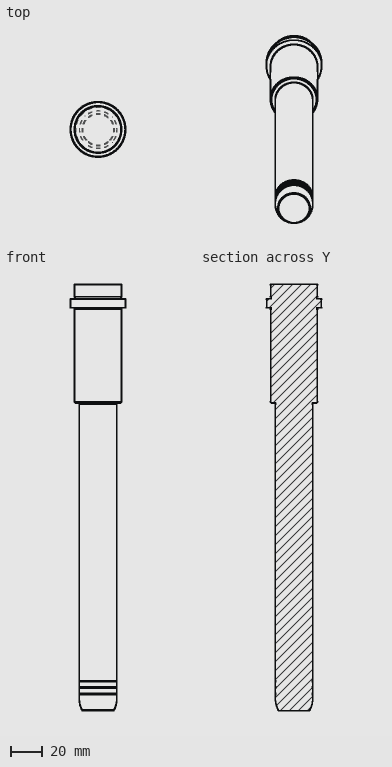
import cadquery as cq

total_length = 270.0
shaft_radius = 24.0 / 2
sleeve_radius = 30.0 / 2
collar_radius = 35.0 / 2

head_height = 9.2
collar_thickness = 6.0
sleeve_length = 75.3
collar_top = total_length - head_height
collar_bottom = collar_top - collar_thickness
sleeve_bottom = total_length - sleeve_length

sleeve_chamfer = 0.8
edge_chamfer = 0.4
upper_undercut_width = 1.0
lower_undercut_width = 0.8
undercut_depth = 0.3

tip_length = 7.3
tip_radius = 10.3
tip_chamfer = 0.5
tip_bulge = 0.4

groove_count = 3
groove_pitch = 4.0
groove_width = 0.8
groove_depth = 0.3
first_groove_height = 10.3


def cylinder(radius, bottom, top):
    """Solid cylinder on the Z axis between two heights."""
    return cq.Workplane("XY").workplane(offset=bottom).circle(radius).extrude(top - bottom)


def ring_cut(radius, depth, bottom, width):
    """Ring that cuts a rectangular groove into a cylinder of the given radius."""
    return cylinder(radius, bottom, bottom + width).cut(cylinder(radius - depth, bottom, bottom + width))


def make_shaft():
    """Shaft with a convex tapered tip, revolved about Z."""
    middle_of_taper = ((shaft_radius + tip_radius) / 2 + tip_bulge, (tip_length + tip_chamfer) / 2)
    return (
        cq.Workplane("XZ")
        .lineTo(tip_radius - tip_chamfer, 0)
        .lineTo(tip_radius, tip_chamfer)
        .threePointArc(middle_of_taper, (shaft_radius, tip_length))
        .lineTo(shaft_radius, sleeve_bottom)
        .lineTo(0, sleeve_bottom)
        .close()
        .revolve(360, (0, 0, 0), (0, 1, 0))
    )


def make_sleeve():
    """Thicker upper length, chamfered at both ends."""
    blank = cylinder(sleeve_radius, sleeve_bottom, total_length)
    return blank.faces("<Z").chamfer(sleeve_chamfer).faces(">Z").chamfer(edge_chamfer)


def undercut_below(shoulder_height, radius):
    """Relief undercut directly below a shoulder."""
    return ring_cut(radius, undercut_depth, shoulder_height - lower_undercut_width, lower_undercut_width)


above_collar = ring_cut(sleeve_radius, undercut_depth, collar_top, upper_undercut_width)
below_collar = undercut_below(collar_bottom, sleeve_radius)
below_sleeve = undercut_below(sleeve_bottom, shaft_radius)

shaft = make_shaft().cut(below_sleeve)
sleeve = make_sleeve().cut(above_collar).cut(below_collar)
collar = cylinder(collar_radius, collar_bottom, collar_top).faces(">Z").chamfer(edge_chamfer)

result = shaft.union(sleeve).union(collar)
for index in range(groove_count):
    groove_bottom = first_groove_height + index * groove_pitch
    result = result.cut(ring_cut(shaft_radius, groove_depth, groove_bottom, groove_width))